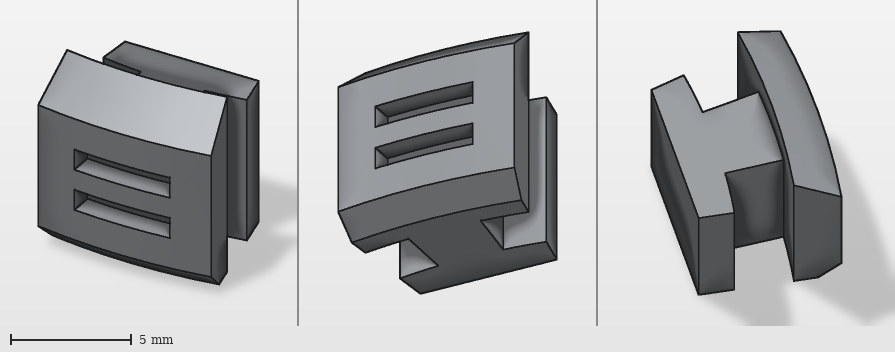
import cadquery as cq
import math

OUTER_RADIUS = 26.49
PLATE_THICKNESS = 2.0
SLOT_WIDTH = 2.5
OVERALL_DEPTH = 6.25
OVERALL_WIDTH = 8.13
OVERALL_HEIGHT = 8.7

BODY_HEIGHT = 6.995
TOP_BEVEL_HEIGHT = 1.68
BOTTOM_BEVEL = 1.0

STEM_FRONT_WIDTH = 3.33

POCKET_WIDTH = 4.49
POCKET_HEIGHT = 1.0
POCKET_DEPTH = 1.0
POCKET_BASES = (2.5, 4.5)

INNER_RADIUS = OUTER_RADIUS - PLATE_THICKNESS
FLANGE_RADIUS = INNER_RADIUS - SLOT_WIDTH
BACK_Y = OVERALL_DEPTH - OUTER_RADIUS


def half_angle(width, radius):
    """Half angle in degrees of a chord centred on the -Y direction."""
    return math.degrees(math.asin(width / 2 / radius))


PLATE_HALF_ANGLE = half_angle(OVERALL_WIDTH, OUTER_RADIUS)
STEM_HALF_ANGLE = half_angle(STEM_FRONT_WIDTH, INNER_RADIUS)
POCKET_HALF_ANGLE = half_angle(POCKET_WIDTH, OUTER_RADIUS)


def revolve_sector(profile, half):
    """Revolve (radius, height) points about Z, centred on the -Y direction."""
    return (
        cq.Workplane("XZ")
        .polyline(profile)
        .close()
        .revolve(2 * half, (0, 0, 0), (0, 1, 0))
        .rotate((0, 0, 0), (0, 0, 1), -90 - half)
    )


def radial_block(front_radius, half, base, height):
    """Block with radial sides, a curved front and a flat back at BACK_Y."""
    angle = math.radians(half)
    front_x = front_radius * math.sin(angle)
    front_y = -front_radius * math.cos(angle)
    back_x = -BACK_Y * math.tan(angle)
    return (
        cq.Workplane("XY")
        .workplane(offset=base)
        .moveTo(-back_x, BACK_Y)
        .lineTo(-front_x, front_y)
        .threePointArc((0, -front_radius), (front_x, front_y))
        .lineTo(back_x, BACK_Y)
        .close()
        .extrude(height)
    )


def curved_plate():
    """Curved front plate with conical bevels along its top and bottom edges."""
    profile = [
        (INNER_RADIUS, 0),
        (OUTER_RADIUS - BOTTOM_BEVEL, 0),
        (OUTER_RADIUS, BOTTOM_BEVEL),
        (OUTER_RADIUS, OVERALL_HEIGHT - TOP_BEVEL_HEIGHT),
        (INNER_RADIUS, OVERALL_HEIGHT),
    ]
    return revolve_sector(profile, PLATE_HALF_ANGLE)


def pocket(base):
    """Curved blind pocket cut into the front face."""
    floor_radius = OUTER_RADIUS - POCKET_DEPTH
    mouth_radius = OUTER_RADIUS + 0.09
    top = base + POCKET_HEIGHT
    profile = [
        (floor_radius, base),
        (mouth_radius, base),
        (mouth_radius, top),
        (floor_radius, top),
    ]
    return revolve_sector(profile, POCKET_HALF_ANGLE)


rear_flange = radial_block(FLANGE_RADIUS, PLATE_HALF_ANGLE, 0, BODY_HEIGHT)

stem = radial_block(INNER_RADIUS, STEM_HALF_ANGLE, 0, BODY_HEIGHT)

result = curved_plate().union(stem).union(rear_flange)
for pocket_base in POCKET_BASES:
    result = result.cut(pocket(pocket_base))